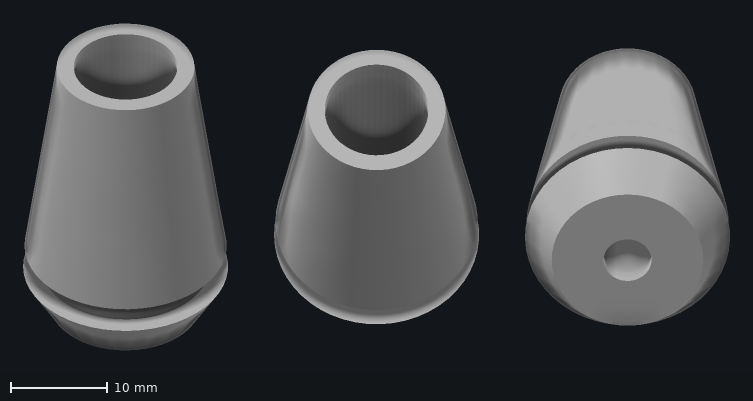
import cadquery as cq
import math

height = 31.5
collar_diameter = 21.3
base_diameter = 15.75
collar_height = 4.85
groove_width = 2.77
groove_diameter = 17.48
taper_angle = 8.0
top_diameter = 14.3

socket_diameter = 10.77
through_diameter = 4.98
socket_depth = height - collar_height - groove_width

taper_start = collar_height + groove_width
taper_length = height - taper_start
taper_base_radius = top_diameter / 2 + taper_length * math.tan(math.radians(taper_angle))

outer_profile = [
    (0, 0),
    (base_diameter / 2, 0),
    (collar_diameter / 2, collar_height),
    (groove_diameter / 2, collar_height),
    (groove_diameter / 2, taper_start),
    (taper_base_radius, taper_start),
    (top_diameter / 2, height),
    (0, height),
]
body = cq.Workplane("XZ").polyline(outer_profile).close().revolve(360, (0, 0), (0, 1))

result = body.faces(">Z").workplane().cboreHole(through_diameter, socket_diameter, socket_depth)